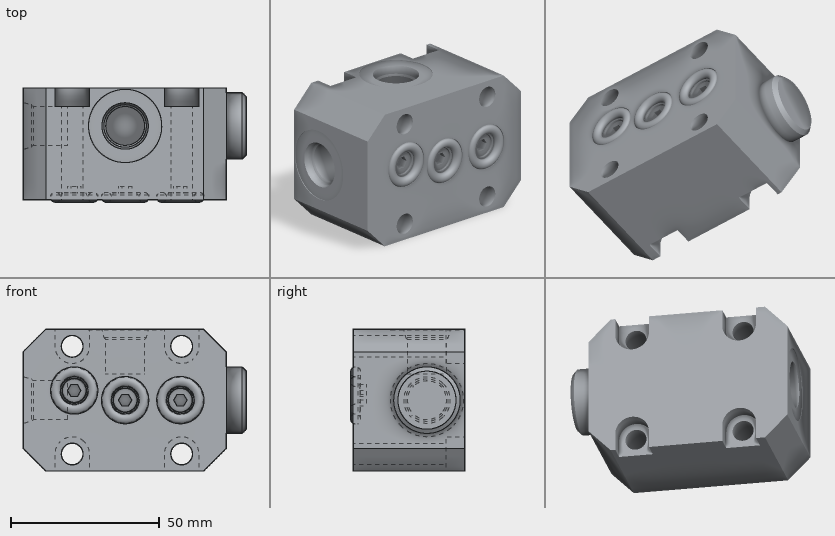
import cadquery as cq
import math

BLOCK_LENGTH = 68.3
BLOCK_DEPTH = 37.6
BLOCK_HEIGHT = 47.75
CORNER_CHAMFER = 7.65

INTO_FRONT = (0, 1, 0)

OVERALL_LENGTH = 75.1
BOSS_LENGTH = OVERALL_LENGTH - BLOCK_LENGTH
BOSS_RADIUS = 11.2
BOSS_CHAMFER = 1.4

PORT_Y = 24.85
TOP_PORT_X = 34.3
SPOTFACE_RADIUS = 12.3
SPOTFACE_DEPTH = 0.2
PORT_ENTRY_RADIUS = 7.8
PORT_TAPER_END_RADIUS = 7.1
PORT_TAPER_END_DEPTH = 2.85
PORT_BORE_RADIUS = 6.5
PORT_CHAMFER = PORT_TAPER_END_RADIUS - PORT_BORE_RADIUS
PORT_DEPTH = 15.0

BOLT_RADIUS = 3.6
BOLT_LEFT_X = 16.5
BOLT_SPACING_X = 36.8
BOLT_Z = 18.1
HEAD_SLOT_RADIUS = 5.8
HEAD_SLOT_DEPTH = 6.3

OVERALL_DEPTH = 38.45
RING_CENTRES = [(17.2, 3.2), (34.3, 0), (52.85, 0)]
RING_OUTER_RADIUS = 7.95
RING_INNER_RADIUS = 4.6
RING_PROTRUSION = OVERALL_DEPTH - BLOCK_DEPTH
TUBE_RADIUS = (RING_OUTER_RADIUS - RING_INNER_RADIUS) / 2
RING_RADIUS = RING_OUTER_RADIUS - TUBE_RADIUS
SEAT_DEPTH = 1.7
RECESS_MOUTH_RADIUS = 4.1
RECESS_FLOOR_RADIUS = 4.0
RECESS_DEPTH = 0.6
HEX_ACROSS_FLATS = 3.9
HEX_ACROSS_CORNERS = HEX_ACROSS_FLATS / math.cos(math.radians(30))
HEX_DEPTH = 2.25


def cylinder(point, direction, radius, length):
    return cq.Workplane(cq.Solid.makeCylinder(radius, length, cq.Vector(*point), cq.Vector(*direction)))


def make_block():
    block = cq.Workplane("XY").box(BLOCK_LENGTH, BLOCK_DEPTH, BLOCK_HEIGHT, centered=(False, False, True))
    return block.edges("|Y").chamfer(CORNER_CHAMFER)


def make_boss():
    boss = cylinder((BLOCK_LENGTH, PORT_Y, 0), (1, 0, 0), BOSS_RADIUS, BOSS_LENGTH)
    return boss.faces(">X").edges().chamfer(BOSS_CHAMFER)


def port_cutter(point, inward):
    """Stepped blind port: shallow spotface, tapered entry, 45 degree shoulder and main bore."""
    profile = [
        (0, 0),
        (SPOTFACE_RADIUS, 0),
        (SPOTFACE_RADIUS, SPOTFACE_DEPTH),
        (PORT_ENTRY_RADIUS, SPOTFACE_DEPTH),
        (PORT_TAPER_END_RADIUS, PORT_TAPER_END_DEPTH),
        (PORT_BORE_RADIUS, PORT_TAPER_END_DEPTH + PORT_CHAMFER),
        (PORT_BORE_RADIUS, PORT_DEPTH),
        (0, PORT_DEPTH),
    ]
    sketch_normal = cq.Vector(0, 1, 0).cross(cq.Vector(*inward))
    plane = cq.Plane(origin=point, xDir=(0, 1, 0), normal=sketch_normal)
    return cq.Workplane(plane).polyline(profile).close().revolve(360, (0, 0), (0, 1))


def bolt_cutter(x, side):
    """Through hole plus a round-ended slot that runs out of the nearer top or bottom face."""
    z = side * BOLT_Z
    slot_floor_y = BLOCK_DEPTH - HEAD_SLOT_DEPTH
    run_out_height = BLOCK_HEIGHT / 2 - BOLT_Z
    hole = cylinder((x, 0, z), INTO_FRONT, BOLT_RADIUS, BLOCK_DEPTH)
    round_end = cylinder((x, slot_floor_y, z), INTO_FRONT, HEAD_SLOT_RADIUS, HEAD_SLOT_DEPTH)
    run_out = (
        cq.Workplane("XY")
        .box(2 * HEAD_SLOT_RADIUS, HEAD_SLOT_DEPTH, run_out_height, centered=(True, False, True))
        .translate((x, slot_floor_y, side * (BOLT_Z + run_out_height / 2)))
    )
    return hole.union(round_end).union(run_out)


def make_o_ring(x, z):
    centre = cq.Vector(x, TUBE_RADIUS - RING_PROTRUSION, z)
    return cq.Workplane(cq.Solid.makeTorus(RING_RADIUS, TUBE_RADIUS, centre, cq.Vector(0, 1, 0)))


def seat_cutter(x, z):
    """Counterbore with a groove that fits the O-ring, a tapered recess and a hexagonal socket."""
    seat = cylinder((x, 0, z), INTO_FRONT, RING_OUTER_RADIUS, SEAT_DEPTH)
    recess = cq.Workplane(
        cq.Solid.makeCone(
            RECESS_MOUTH_RADIUS,
            RECESS_FLOOR_RADIUS,
            RECESS_DEPTH,
            cq.Vector(x, SEAT_DEPTH, z),
            cq.Vector(*INTO_FRONT),
        )
    )
    socket = (
        cq.Workplane("XZ", origin=(x, SEAT_DEPTH + RECESS_DEPTH, z))
        .polygon(6, HEX_ACROSS_CORNERS)
        .extrude(-HEX_DEPTH)
    )
    return seat.union(make_o_ring(x, z)).union(recess).union(socket)


def make_housing():
    housing = make_block().union(make_boss())
    housing = housing.cut(port_cutter((0, PORT_Y, 0), (1, 0, 0)))
    housing = housing.cut(port_cutter((TOP_PORT_X, PORT_Y, BLOCK_HEIGHT / 2), (0, 0, -1)))
    for x in (BOLT_LEFT_X, BOLT_LEFT_X + BOLT_SPACING_X):
        for side in (1, -1):
            housing = housing.cut(bolt_cutter(x, side))
    for x, z in RING_CENTRES:
        housing = housing.cut(seat_cutter(x, z))
    return housing


housing = make_housing()
o_rings = [make_o_ring(x, z) for x, z in RING_CENTRES]
result = cq.Compound.makeCompound([housing.val(), *[ring.val() for ring in o_rings]])